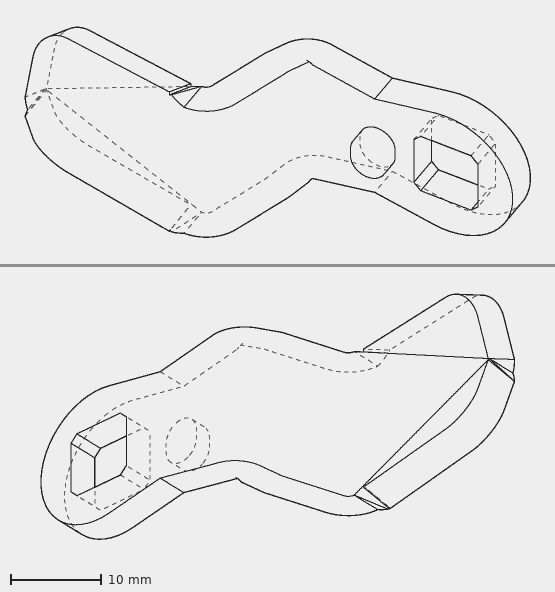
import cadquery as cq
import math


length = 54.45
depth = 17.95
thickness = 4.0

eye_radius = 8.55
hole_side = 8.15
hole_chamfer = 0.85
waist_x = -9.1
waist_half = 7.0
plate_end_x = -17.05
plate_end_half = 8.55

pin_x = -8.7
pin_width = 4.45
pin_height = 5.6
pin_length = 2.45
pin_round = 0.45

leg_half = 9.5
crank_angle = 72.0
lower_inner_radius = 1.0
upper_inner_radius = 0.3
taper_on_leg = 2.95
upper_bend_half = 9.05

apex_gap = 0.5
wing_angle = 22.5
wing_corner_half = 9.95
wing_peak_half = 10.485
wing_peak_x = -27.55
wing_corner_radius = 4.0

crank = math.radians(crank_angle)
leg_x = math.cos(crank)
leg_y = math.sin(crank)
lower_outer_radius = lower_inner_radius + thickness
upper_outer_radius = upper_inner_radius + thickness
plate_front_y = depth - thickness
radius_sum = lower_inner_radius + upper_outer_radius
leg_length = (plate_front_y - radius_sum * (1 - leg_x)) / leg_y
blade_end_x = plate_end_x - radius_sum * leg_y - leg_length * leg_x
left_x = eye_radius - length
apex_x = left_x + apex_gap
upper_axis = (plate_end_x, plate_front_y - upper_inner_radius)
lower_axis = (blade_end_x, thickness + lower_inner_radius)


def from_axis(axis, radius, angle):
    """Point in the XY plane at a given angle and radius around a bend axis."""
    return (axis[0] + radius * math.cos(angle), axis[1] + radius * math.sin(angle))


def prism_z(points, half_height):
    """Polygon in XY extruded symmetrically about Z = 0."""
    return cq.Workplane("XY").polyline(points).close().extrude(half_height, both=True)


def prism_y(points, depth_y):
    """Polygon in XZ extruded from Y = 0 towards +Y."""
    return cq.Workplane("XZ").polyline(points).close().extrude(-depth_y)


def make_plate():
    waist_distance = math.hypot(waist_x, waist_half)
    tangent_angle = math.atan2(waist_half, waist_x) - math.acos(eye_radius / waist_distance)
    tangent_x = eye_radius * math.cos(tangent_angle)
    tangent_z = eye_radius * math.sin(tangent_angle)
    plate = (
        cq.Workplane("XZ", origin=(0, plate_front_y, 0))
        .moveTo(plate_end_x, -plate_end_half)
        .lineTo(waist_x, -waist_half)
        .lineTo(tangent_x, -tangent_z)
        .threePointArc((eye_radius, 0), (tangent_x, tangent_z))
        .lineTo(waist_x, waist_half)
        .lineTo(plate_end_x, plate_end_half)
        .close()
        .extrude(-thickness)
    )
    hole = (
        cq.Workplane("XZ", origin=(0, plate_front_y, 0))
        .rect(hole_side, hole_side)
        .extrude(-thickness)
        .edges("|Y")
        .chamfer(hole_chamfer)
    )
    return plate.cut(hole)


def make_pin():
    return (
        cq.Workplane("XZ", origin=(pin_x, plate_front_y, 0))
        .slot2D(pin_height, pin_width, 90)
        .extrude(pin_length)
        .faces("<Y")
        .edges()
        .fillet(pin_round)
    )


def bend_ring(axis, inner_radius):
    return (
        cq.Workplane("XY")
        .center(*axis)
        .circle(inner_radius + thickness)
        .circle(inner_radius)
        .extrude(depth, both=True)
    )


def make_upper_bend():
    reach = 2 * upper_outer_radius
    sections = []
    for angle, half in (
        (math.pi / 2, plate_end_half),
        (math.pi / 2 + crank, upper_bend_half),
    ):
        outer = from_axis(upper_axis, reach, angle)
        corners = [(*upper_axis, -half), (*outer, -half), (*outer, half), (*upper_axis, half)]
        sections.append(cq.Wire.makePolygon([cq.Vector(*c) for c in corners], close=True))
    wedge = cq.Solid.makeLoft(sections, True)
    return bend_ring(upper_axis, upper_inner_radius).intersect(cq.Workplane(wedge))


def make_lower_bend():
    reach = 2 * lower_outer_radius
    start = -math.pi / 2
    wedge = prism_z(
        [
            lower_axis,
            from_axis(lower_axis, reach, start),
            from_axis(lower_axis, reach, start + crank),
        ],
        leg_half,
    )
    return bend_ring(lower_axis, lower_inner_radius).intersect(wedge)


def make_leg():
    foot = from_axis(lower_axis, lower_outer_radius, crank - math.pi / 2)
    taper_start = leg_length - taper_on_leg
    normal = (leg_y, -leg_x, 0)
    return (
        cq.Workplane(cq.Plane((*foot, 0), (leg_x, leg_y, 0), normal))
        .polyline(
            [
                (0, -leg_half),
                (taper_start, -leg_half),
                (leg_length, -upper_bend_half),
                (leg_length, upper_bend_half),
                (taper_start, leg_half),
                (0, leg_half),
            ]
        )
        .close()
        .extrude(-thickness)
    )


def make_blade():
    return prism_y([(apex_x, 0), (blade_end_x, -leg_half), (blade_end_x, leg_half)], thickness)


def make_upper_wing():
    """Upper wing and its fold; the fold axis lies on the back face of the blade."""
    fold = math.atan2(leg_half, blade_end_x - apex_x)
    tilt = math.radians(wing_angle)
    along = cq.Vector(math.cos(fold), 0, math.sin(fold))
    across = cq.Vector(-math.sin(fold), 0, math.cos(fold))
    back = cq.Vector(0, 1, 0)
    apex = cq.Vector(apex_x, thickness, 0)
    fold_length = math.hypot(leg_half, blade_end_x - apex_x)
    fold_width = thickness * math.sin(tilt)

    outward = across * math.cos(tilt) + back * math.sin(tilt)
    front = across * math.sin(tilt) - back * math.cos(tilt)

    def on_wing(x, z):
        """Wing-plane coordinates of the front-face point at the given X and Z."""
        offset = cq.Vector(x - apex_x, 0, z)
        return (offset.dot(along), (offset.dot(across) - fold_width) / math.cos(tilt))

    wing_start = (left_x - apex_x + fold_width * math.sin(fold)) / math.cos(fold)
    tip = across * fold_width + along * wing_start
    peak = on_wing(wing_peak_x, wing_peak_half)
    corner = on_wing(left_x, wing_corner_half)
    corner_middle = apex + along * corner[0] + outward * corner[1] + front * (thickness / 2)
    wing = (
        cq.Workplane(cq.Plane(apex, along, front))
        .polyline([(wing_start, 0), (peak[0], 0), peak, corner])
        .close()
        .extrude(thickness)
        .edges(cq.selectors.NearestToPointSelector(corner_middle.toTuple()))
        .fillet(wing_corner_radius)
    )

    reach = 2 * thickness
    sector = (
        cq.Workplane(cq.Plane(apex, across, along))
        .circle(thickness)
        .extrude(fold_length + 2 * reach)
        .translate(along * -reach)
    )
    wedge = (
        cq.Workplane(cq.Plane(apex - along * reach, across, along))
        .polyline([(0, 0), (0, reach), (reach * math.sin(tilt), reach * math.cos(tilt))])
        .close()
        .extrude(fold_length + 2 * reach)
    )
    clip = prism_y(
        [
            (apex_x, 0),
            (blade_end_x, leg_half),
            (wing_peak_x, wing_peak_half),
            (left_x, tip.z),
        ],
        thickness,
    )
    return wing.union(sector.intersect(wedge).intersect(clip))


upper_wing = make_upper_wing()
lower_wing = upper_wing.mirror("XY")

result = (
    make_plate()
    .union(make_pin())
    .union(make_upper_bend())
    .union(make_leg())
    .union(make_lower_bend())
    .union(make_blade())
    .union(upper_wing)
    .union(lower_wing)
)